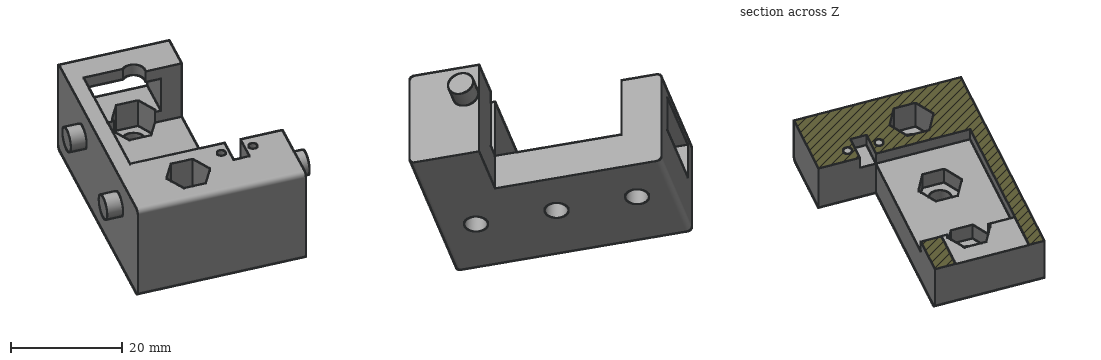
import cadquery as cq
import math

body_width = 44.0
body_height = 20.0
body_depth = 21.0
arm_depth = 32.0
arm_left = 31.0
corner_radius = 1.0

floor_height = 7.5
front_wall = 3.0
left_wall = 7.5

window_depth = 14.0
window_bottom = 10.0
window_top = 17.5
notch_left = 5.5

bolt_diameter = 4.3
bolt_spacing = 15.0
bolt_count = 3
first_bolt_x = 7.0
bolt_y = 12.0
hexagon_sides = 6
nut_across_flats = 7.2
nut_across_corners = nut_across_flats / math.cos(math.pi / hexagon_sides)
nut_seat_height = 4.0

slot_length = 5.0
slot_width = 3.0
slot_bottom = floor_height
small_hole_diameter = 1.6
small_hole_depth = 10.0
small_hole_offset = 3.0

pin_diameter = 4.7
pin_height = 13.45
pin_spacing = 20.0
front_pin_length = 3.0
back_pin_length = 3.5
arm_pin_x = 33.5
pin_bore_diameter = 0.2

slot_front = body_depth
slot_back = slot_front + slot_width
slot_middle_y = slot_front + slot_width / 2


def box(x_range, y_range, z_range):
    """Axis-aligned box between the given limits."""
    size = [high - low for low, high in (x_range, y_range, z_range)]
    corner = (x_range[0], y_range[0], z_range[0])
    return cq.Workplane("XY").box(*size, centered=False).translate(corner)


def rod_along_y(diameter, x, z, y_start, y_end):
    """Cylinder parallel to Y."""
    direction = cq.Vector(0, 1, 0)
    start = cq.Vector(x, y_start, z)
    return cq.Workplane(cq.Solid.makeCylinder(diameter / 2, y_end - y_start, start, direction))


def make_body():
    """Block with rounded lengthwise edges, cut back to an L."""
    block = box((0, body_width), (0, arm_depth), (0, body_height))
    block = block.edges("|Y").fillet(corner_radius)
    return block.cut(box((0, arm_left), (body_depth, arm_depth), (0, body_height)))


def cut_pocket(part):
    """Main pocket, side window and the notch that opens the window upwards."""
    pocket = box((left_wall, arm_left), (front_wall, body_depth), (floor_height, body_height))
    window = box((0, left_wall), (front_wall, front_wall + window_depth), (window_bottom, window_top))
    notch = box((notch_left, left_wall), (front_wall, bolt_y), (window_bottom, body_height))
    return part.cut(pocket).cut(window).cut(notch)


def cut_bolt_holes(part):
    """Through holes; each nut recess runs from its seat up to the surface above it."""
    corner_angle = 90
    recess_tops = (window_bottom, floor_height, body_height)
    for index in range(bolt_count):
        centre = (first_bolt_x + index * bolt_spacing, bolt_y)
        hole = cq.Workplane("XY").center(*centre).circle(bolt_diameter / 2).extrude(body_height)
        recess = (
            cq.Workplane("XY", origin=(*centre, nut_seat_height))
            .transformed(rotate=(0, 0, corner_angle))
            .polygon(hexagon_sides, nut_across_corners)
            .extrude(recess_tops[index] - nut_seat_height)
        )
        part = part.cut(hole).cut(recess)
    return part


def cut_slot(part):
    """Slot in the arm and the small blind holes beside it."""
    part = part.cut(
        box((arm_left, arm_left + slot_length), (slot_front, slot_back), (slot_bottom, body_height))
    )
    for side in (-1, 1):
        hole = (
            cq.Workplane("XY", origin=(arm_pin_x, slot_middle_y + side * small_hole_offset, body_height))
            .circle(small_hole_diameter / 2)
            .extrude(-small_hole_depth)
        )
        part = part.cut(hole)
    return part


def add_pins(part):
    """Two pins on the front and one on the back of the arm, bored thinly from the slot."""
    for pin_x in (arm_pin_x - pin_spacing, arm_pin_x):
        part = part.union(rod_along_y(pin_diameter, pin_x, pin_height, -front_pin_length, 0))
    back_end = arm_depth + back_pin_length
    part = part.union(rod_along_y(pin_diameter, arm_pin_x, pin_height, arm_depth, back_end))
    return part.cut(rod_along_y(pin_bore_diameter, arm_pin_x, pin_height, slot_back, arm_depth))


result = add_pins(cut_slot(cut_bolt_holes(cut_pocket(make_body()))))